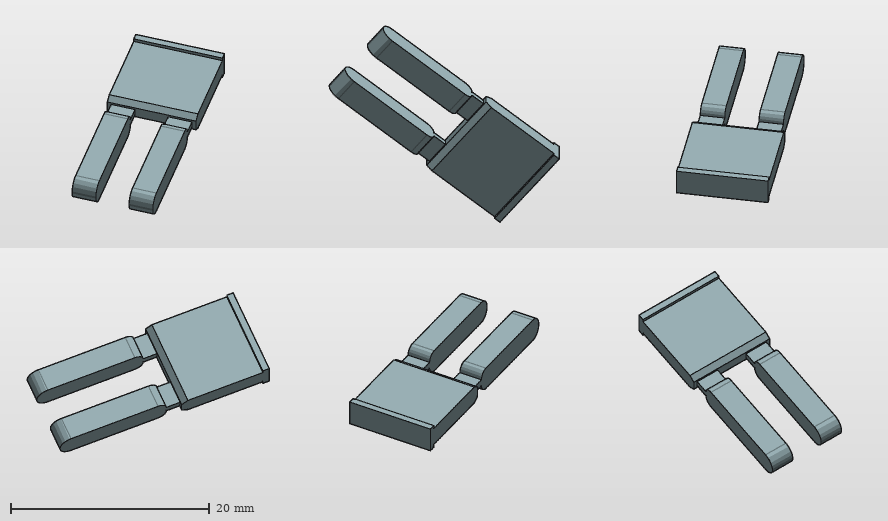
import cadquery as cq

length = 22.75
width = 9.4
flange_height = 2.7

flange_thickness = 0.7
body_height = 2.0
body_length = 9.6
nose_length = 0.68
nose_height = 1.2

prong_width = 2.53
prong_spacing = 6.03
prong_height = 2.53
prong_length = 11.65
tip_radius = 1.2
root_radius = 0.9
neck_height = 0.75

body_front = length - body_length
flange_front = length - flange_thickness


def block(x_size, y_start, y_end, z_size, x_center=0):
    """Box centred in Z, spanning the given Y range."""
    middle = (y_start + y_end) / 2
    return cq.Workplane("XY").box(x_size, y_end - y_start, z_size).translate((x_center, middle, 0))


def make_grip():
    """Flat body with a tapered nose and a raised flange at the head."""
    taper = (body_height - nose_height) / 2
    body = (
        block(width, body_front, length, body_height)
        .faces("<Y")
        .edges("|X")
        .chamfer(taper, nose_length)
    )
    return body.union(block(width, flange_front, length, flange_height))


def make_prong(x_center):
    """Rounded contact bar joined to the body by a thin neck."""
    bar = block(prong_width, 0, prong_length, prong_height, x_center)
    bar = bar.faces("<Y").edges("|X").fillet(tip_radius)
    bar = bar.faces(">Y").edges("|X").fillet(root_radius)
    neck = block(prong_width, prong_length - root_radius, body_front + nose_length, neck_height, x_center)
    return bar.union(neck)


result = make_grip()
for side in (-1, 1):
    result = result.union(make_prong(side * prong_spacing / 2))